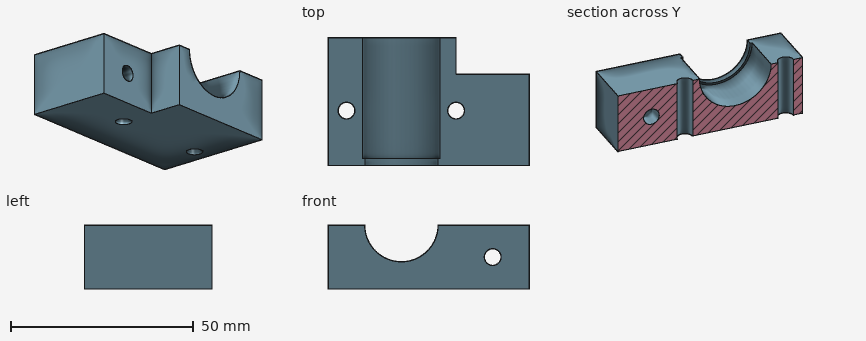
import cadquery as cq

length = 55.0
width = 35.0
height = 17.5

notch_length = 20.0
notch_width = 10.0

channel_x = 20.0
channel_radius = 10.6
lip_radius = 10.0
lip_width = 2.0

hole_diameter = 4.5
bolt_spacing = 30.0
bolt_first_x = 5.0
bolt_y = 15.0
cross_hole_x = 45.0


def cylinder_along_y(diameter, x, z, y_start, y_end):
    """Cylinder running in +Y between two Y positions."""
    return cq.Workplane(
        cq.Solid.makeCylinder(
            diameter / 2, y_end - y_start, cq.Vector(x, y_start, z), cq.Vector(0, 1, 0)
        )
    )


body = cq.Workplane("XY").box(length, width, height, centered=False)

notch = (
    cq.Workplane("XY")
    .box(notch_length, notch_width, height, centered=False)
    .translate((length - notch_length, width - notch_width, 0))
)
body = body.cut(notch)

body = body.cut(cylinder_along_y(2 * lip_radius, channel_x, height, 0, lip_width))
body = body.cut(cylinder_along_y(2 * channel_radius, channel_x, height, lip_width, width))

bolt_points = [(bolt_first_x, bolt_y), (bolt_first_x + bolt_spacing, bolt_y)]
bolt_holes = cq.Workplane("XY").pushPoints(bolt_points).circle(hole_diameter / 2).extrude(height)
body = body.cut(bolt_holes)

result = body.cut(cylinder_along_y(hole_diameter, cross_hole_x, height / 2, 0, width))